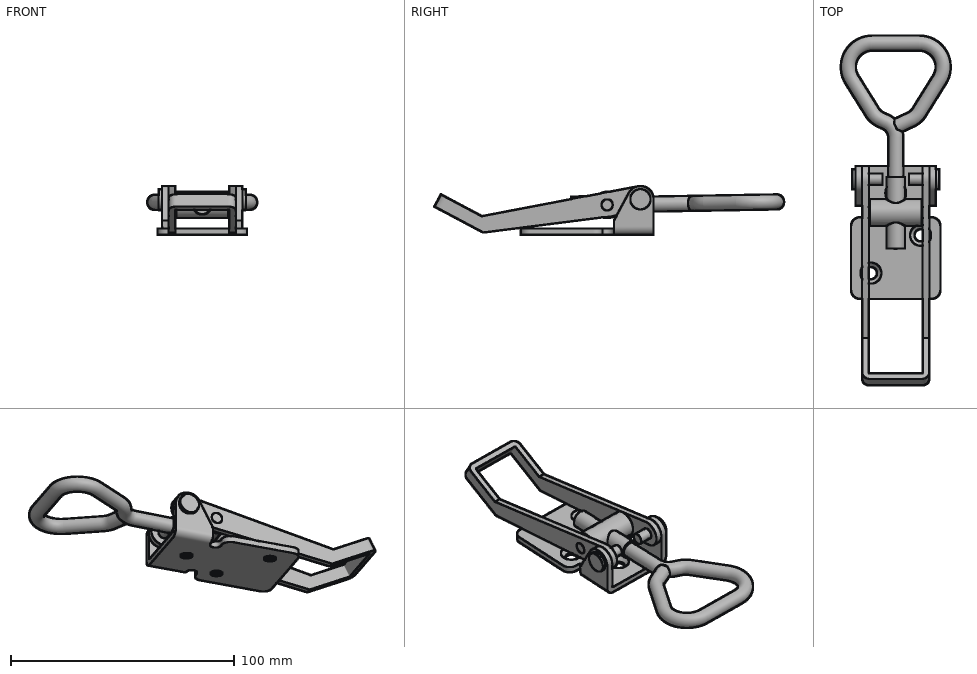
import cadquery as cq
import math


SHEET = 3.0

EAR_HALF_WIDTH = 18.0
EAR_RADIUS = 6.0
EAR_FRONT_Y = -12.0
EAR_FRONT_HEIGHT = 6.5
EAR_BEND_RADIUS = 3.6
BASE_HEIGHT = 22.0
PIVOT_Z = BASE_HEIGHT - EAR_RADIUS
FLANGE_HALF_WIDTH = 20.1
FLANGE_BACK_Y = -17.0
FLANGE_FRONT_Y = -53.7
FLANGE_CORNER_RADIUS = 4.1
RELIEF_DEPTH = 6.0
SCREW_HOLES = [(0, -6.1), (11.1, -25.1), (-11.1, -42.0)]
SCREW_HOLE_DIAMETER = 5.3
COUNTERSINK_DIAMETER = 9.4
COUNTERSINK_ANGLE = 90

LEVER_HALF_WIDTH = EAR_HALF_WIDTH - SHEET
LEVER_ELBOW_TOP = (-71.0, 8.5)
LEVER_ELBOW_BOTTOM = (-70.5, 1.02)
HANDLE_ANGLE = 28
HANDLE_TIP_BOTTOM_Y = -92.4
HANDLE_CORNER_RADIUS = 3.3
STRIP_REACH = 156.9

RIVET_RADIUS = 2.5
RIVET_HEAD_RADIUS = 4.5
RIVET_HEAD_HEIGHT = 1.49
RIVET_INNER_END = 6.0

TRUNNION_Y = -14.9
TRUNNION_Z = 13.5
TRUNNION_RADIUS = 6.0
TRUNNION_HALF_LENGTH = 11.6
JOURNAL_RADIUS = 2.5

HOOK_TILT = 1.0
THREAD_RADIUS = 4.1
THREAD_FRONT_Y = -31.0
THREAD_BACK_Y = 1.1
NECK_Y = 18.8
WIRE_RADIUS = 3.5
SPLAY_ANGLE = 25
LEG_ANGLE = 58
NECK_BEND_RADIUS = 7.5
LEG_BEND_RADIUS = 8.5
LOOP_CORNER_RADIUS = 10.7
HOOK_BACK_Y = 64.5
LOOP_WIDTH = 49.5


def x_cylinder(radius, x_start, x_end, y, z):
    """Cylinder along X between two X positions."""
    return (cq.Workplane("YZ", origin=(x_start, 0, 0)).center(y, z)
            .circle(radius).extrude(x_end - x_start))


def tangent_point(corner, side):
    """Point where a line from a (Y, Z) corner touches the pivot circle; side 1 is above, -1 below."""
    dy = corner[0]
    dz = corner[1] - PIVOT_Z
    angle = math.atan2(dz, dy) - side * math.acos(EAR_RADIUS / math.hypot(dy, dz))
    return (EAR_RADIUS * math.cos(angle), PIVOT_Z + EAR_RADIUS * math.sin(angle))


def make_base():
    """Folded plate with two ears, a mounting flange and countersunk screw holes."""
    length = EAR_RADIUS - EAR_FRONT_Y
    channel = (cq.Workplane("XY").box(2 * EAR_HALF_WIDTH, length, BASE_HEIGHT, centered=(True, False, False))
               .edges("|Y and <Z").fillet(EAR_BEND_RADIUS)
               .translate((0, EAR_FRONT_Y, 0)))
    cavity = (cq.Workplane("XY").box(2 * LEVER_HALF_WIDTH, length, BASE_HEIGHT, centered=(True, False, False))
              .edges("|Y and <Z").fillet(EAR_BEND_RADIUS - SHEET)
              .translate((0, EAR_FRONT_Y, SHEET)))
    ear_corner = (EAR_FRONT_Y, EAR_FRONT_HEIGHT)
    ear_profile = (cq.Workplane("YZ", origin=(-EAR_HALF_WIDTH, 0, 0))
                   .moveTo(EAR_RADIUS, 0)
                   .lineTo(EAR_RADIUS, PIVOT_Z)
                   .threePointArc((0, BASE_HEIGHT), tangent_point(ear_corner, 1))
                   .lineTo(*ear_corner)
                   .lineTo(EAR_FRONT_Y, 0)
                   .close()
                   .extrude(2 * EAR_HALF_WIDTH))
    ears = channel.cut(cavity).intersect(ear_profile)

    flange = (cq.Workplane("XY")
              .box(2 * FLANGE_HALF_WIDTH, FLANGE_BACK_Y - FLANGE_FRONT_Y, SHEET, centered=(True, False, False))
              .edges("|Z").fillet(FLANGE_CORNER_RADIUS)
              .translate((0, FLANGE_FRONT_Y, 0)))
    slot_width = EAR_FRONT_Y - FLANGE_BACK_Y
    slot_y = (EAR_FRONT_Y + FLANGE_BACK_Y) / 2
    web_half_width = EAR_HALF_WIDTH - RELIEF_DEPTH + slot_width / 2
    web_plane = cq.Workplane("XY", origin=(0, slot_y, 0))
    slot_ends = (web_plane.pushPoints([(-web_half_width, 0), (web_half_width, 0)])
                 .circle(slot_width / 2).extrude(SHEET))
    web = web_plane.rect(2 * web_half_width, slot_width).extrude(SHEET).cut(slot_ends)
    base = ears.union(flange).union(web)

    base = (base.copyWorkplane(cq.Workplane("XY", origin=(0, 0, SHEET)))
            .pushPoints(SCREW_HOLES)
            .cskHole(SCREW_HOLE_DIAMETER, COUNTERSINK_DIAMETER, COUNTERSINK_ANGLE))
    return base.cut(x_cylinder(RIVET_RADIUS, -EAR_HALF_WIDTH, EAR_HALF_WIDTH, 0, PIVOT_Z))


def make_lever():
    """U-shaped lever that turns on the rivets and carries the trunnion."""
    rise = math.tan(math.radians(HANDLE_ANGLE))
    tip_bottom = cq.Vector(HANDLE_TIP_BOTTOM_Y,
                           LEVER_ELBOW_BOTTOM[1] + rise * (LEVER_ELBOW_BOTTOM[0] - HANDLE_TIP_BOTTOM_Y))
    along = cq.Vector(-math.cos(math.radians(HANDLE_ANGLE)), math.sin(math.radians(HANDLE_ANGLE)))
    elbow_top = cq.Vector(*LEVER_ELBOW_TOP)
    tip_top = elbow_top + along * (tip_bottom - elbow_top).dot(along)
    side = (cq.Workplane("YZ", origin=(-LEVER_HALF_WIDTH, 0, 0))
            .moveTo(*tangent_point(LEVER_ELBOW_BOTTOM, -1))
            .threePointArc((EAR_RADIUS, PIVOT_Z), tangent_point(LEVER_ELBOW_TOP, 1))
            .lineTo(*LEVER_ELBOW_TOP)
            .lineTo(tip_top.x, tip_top.y)
            .lineTo(tip_bottom.x, tip_bottom.y)
            .lineTo(*LEVER_ELBOW_BOTTOM)
            .close()
            .extrude(2 * LEVER_HALF_WIDTH))

    handle_plane = cq.Plane(origin=(0, tip_bottom.x, tip_bottom.y), xDir=(1, 0, 0),
                            normal=(0, along.y, -along.x))

    def rounded_block(half_width, start, corner_radius):
        """Block square to the handle, starting at a distance from the handle's end."""
        return (cq.Workplane(handle_plane).center(0, start + STRIP_REACH / 2)
                .rect(2 * half_width, STRIP_REACH).extrude(STRIP_REACH, both=True)
                .edges(cq.selectors.ParallelDirSelector(handle_plane.zDir)).fillet(corner_radius))

    strip = (rounded_block(LEVER_HALF_WIDTH, 0, HANDLE_CORNER_RADIUS)
             .cut(rounded_block(LEVER_HALF_WIDTH - SHEET, SHEET, HANDLE_CORNER_RADIUS - SHEET)))
    lever = side.intersect(strip)
    lever = lever.cut(x_cylinder(RIVET_RADIUS, -LEVER_HALF_WIDTH, LEVER_HALF_WIDTH, 0, PIVOT_Z))
    return lever.cut(x_cylinder(JOURNAL_RADIUS, -LEVER_HALF_WIDTH, LEVER_HALF_WIDTH, TRUNNION_Y, TRUNNION_Z))


def make_rivet(side):
    """Headed rivet through one ear and one lever side; side is -1 or 1."""
    shank = x_cylinder(RIVET_RADIUS, side * RIVET_INNER_END, side * EAR_HALF_WIDTH, 0, PIVOT_Z)
    head = x_cylinder(RIVET_HEAD_RADIUS, side * EAR_HALF_WIDTH,
                      side * (EAR_HALF_WIDTH + RIVET_HEAD_HEIGHT), 0, PIVOT_Z)
    return shank.union(head)


def tilted(body):
    """Turn a body about the trunnion axis by the tilt of the hook."""
    return body.rotate((0, TRUNNION_Y, TRUNNION_Z), (1, TRUNNION_Y, TRUNNION_Z), HOOK_TILT)


def y_cylinder(radius, y_start, y_end):
    """Cylinder along Y on the hook axis between two Y positions."""
    return (cq.Workplane("XZ", origin=(0, y_start, TRUNNION_Z))
            .circle(radius).extrude(y_start - y_end))


def make_trunnion():
    """Cross barrel with a journal at each end and a bore for the hook's thread."""
    barrel = x_cylinder(TRUNNION_RADIUS, -TRUNNION_HALF_LENGTH, TRUNNION_HALF_LENGTH, TRUNNION_Y, TRUNNION_Z)
    journals = x_cylinder(JOURNAL_RADIUS, -LEVER_HALF_WIDTH, LEVER_HALF_WIDTH, TRUNNION_Y, TRUNNION_Z)
    bore = y_cylinder(THREAD_RADIUS, TRUNNION_Y - TRUNNION_RADIUS, TRUNNION_Y + TRUNNION_RADIUS)
    return tilted(barrel.union(journals).cut(bore))


def on_arc(center, radius, angle):
    """Point (X, Y) on a circle, with the angle in degrees from +X."""
    return (center[0] + radius * math.cos(math.radians(angle)),
            center[1] + radius * math.sin(math.radians(angle)))


def make_hook():
    """Thread and shank that run into a triangular wire loop."""
    bar_y = HOOK_BACK_Y - WIRE_RADIUS
    corner_center = (LOOP_CORNER_RADIUS + WIRE_RADIUS - LOOP_WIDTH / 2, bar_y - LOOP_CORNER_RADIUS)
    leg_end = on_arc(corner_center, LOOP_CORNER_RADIUS, 180 + 90 - LEG_ANGLE)
    corner_middle = on_arc(corner_center, LOOP_CORNER_RADIUS, 180 - LEG_ANGLE / 2)
    corner_end = (corner_center[0], bar_y)

    neck_center = (-NECK_BEND_RADIUS, NECK_Y)
    neck_middle = on_arc(neck_center, NECK_BEND_RADIUS, (90 - SPLAY_ANGLE) / 2)
    splay_start = on_arc(neck_center, NECK_BEND_RADIUS, 90 - SPLAY_ANGLE)

    bend_start = on_arc(splay_start, LEG_BEND_RADIUS, 90 - SPLAY_ANGLE)
    leg_normal = math.radians(90 - LEG_ANGLE)
    offset = ((leg_end[0] - bend_start[0]) * math.cos(leg_normal)
              + (leg_end[1] - bend_start[1]) * math.sin(leg_normal) + LEG_BEND_RADIUS)
    splay_length = -offset / math.sin(math.radians(LEG_ANGLE - SPLAY_ANGLE))
    splay_end = on_arc(splay_start, splay_length, 180 - SPLAY_ANGLE)
    bend_center = on_arc(splay_end, LEG_BEND_RADIUS, 90 - SPLAY_ANGLE)
    bend_middle = on_arc(bend_center, LEG_BEND_RADIUS, 180 + 90 - (SPLAY_ANGLE + LEG_ANGLE) / 2)
    leg_start = on_arc(bend_center, LEG_BEND_RADIUS, 180 + 90 - LEG_ANGLE)

    def arm_to_corner(path):
        """Continue a path from the splayed arm, along the leg and round the loop corner."""
        return (path.lineTo(*splay_end)
                .threePointArc(bend_middle, leg_start)
                .lineTo(*leg_end)
                .threePointArc(corner_middle, corner_end))

    loop_plane = cq.Workplane("XY", origin=(0, 0, TRUNNION_Z))
    neck_path = loop_plane.moveTo(0, NECK_Y).threePointArc(neck_middle, splay_start)
    left_path = arm_to_corner(neck_path).lineTo(-corner_end[0], bar_y)
    left_half = cq.Workplane("XZ", origin=(0, NECK_Y, TRUNNION_Z)).circle(WIRE_RADIUS).sweep(left_path)

    stub_length = -splay_start[0] / math.cos(math.radians(SPLAY_ANGLE))
    stub = on_arc(splay_start, stub_length, -SPLAY_ANGLE)
    right_path = arm_to_corner(loop_plane.moveTo(*stub))
    stub_plane = cq.Plane(origin=(stub[0], stub[1], TRUNNION_Z), xDir=(0, 0, 1),
                          normal=(splay_end[0] - stub[0], splay_end[1] - stub[1], 0))
    right_half = cq.Workplane(stub_plane).circle(WIRE_RADIUS).sweep(right_path).mirror("YZ")

    thread = y_cylinder(THREAD_RADIUS, THREAD_FRONT_Y, THREAD_BACK_Y)
    shank = y_cylinder(WIRE_RADIUS, THREAD_BACK_Y, NECK_Y)
    return tilted(thread.union(shank).union(left_half).union(right_half))


base = make_base()
lever = make_lever()
rivets = [make_rivet(side) for side in (-1, 1)]
trunnion = make_trunnion()
hook = make_hook()

result = cq.Compound.makeCompound([
    base.val(),
    lever.val(),
    *[rivet.val() for rivet in rivets],
    trunnion.val(),
    hook.val(),
])